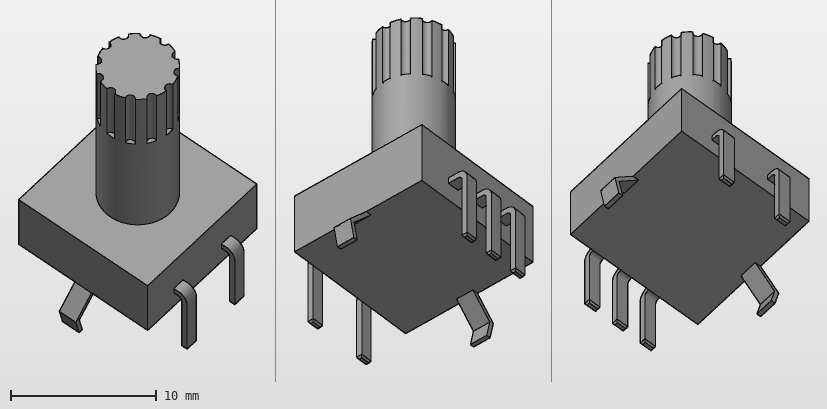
import cadquery as cq
import math

TOTAL_HEIGHT = 23

BODY_SIDE = 11.6
BODY_HEIGHT = 5.0

SHAFT_DIAMETER = 5.75
SHAFT_LENGTH = 14.0
FLUTE_COUNT = 12
FLUTE_RADIUS = 0.35
FLUTE_LENGTH = 5.0

PIN_REACH_LEFT = 1.7
PIN_REACH_RIGHT = 1.2
PIN_THICKNESS = 0.48
PIN_WIDTH = 1.0
PIN_PITCH = 2.53
PIN_TOP = 1.98
PIN_OUTER_BEND = 0.8
PIN_TIP_HEIGHT = 0.18
PIN_TIP_INSET = 0.12

TAB_WIDTH = 1.5
TAB_THICKNESS = 0.35
TAB_REACH = 1.65
TAB_DEPTH = 3.15
TAB_TIP_ANGLE = 13

EMBED = 0.23

half_side = BODY_SIDE / 2
shaft_top = BODY_HEIGHT + SHAFT_LENGTH
pin_bottom = shaft_top - TOTAL_HEIGHT


def make_body():
    return cq.Workplane("XY").box(BODY_SIDE, BODY_SIDE, BODY_HEIGHT, centered=(True, True, False))


def make_shaft():
    shaft = (
        cq.Workplane("XY", origin=(0, 0, BODY_HEIGHT - EMBED))
        .circle(SHAFT_DIAMETER / 2)
        .extrude(SHAFT_LENGTH + EMBED)
    )
    flutes = (
        cq.Workplane("XY", origin=(0, 0, shaft_top))
        .polarArray(SHAFT_DIAMETER / 2, 0, 360, FLUTE_COUNT)
        .circle(FLUTE_RADIUS)
        .extrude(-FLUTE_LENGTH)
    )
    return shaft.cut(flutes)


def make_pin(reach):
    """Pin on the +X side at Y = 0, ending in a tapered tip."""
    outer_x = half_side + reach
    inner_x = outer_x - PIN_THICKNESS
    root_x = half_side - EMBED
    underside = PIN_TOP - PIN_THICKNESS
    shoulder = pin_bottom + PIN_TIP_HEIGHT
    bend_x = outer_x - PIN_OUTER_BEND
    bend_z = PIN_TOP - PIN_OUTER_BEND
    inner_bend = PIN_OUTER_BEND - PIN_THICKNESS
    diagonal = math.sqrt(0.5)

    strip = (
        cq.Workplane("XZ", origin=(0, PIN_WIDTH / 2, 0))
        .moveTo(root_x, PIN_TOP)
        .lineTo(bend_x, PIN_TOP)
        .threePointArc(
            (bend_x + PIN_OUTER_BEND * diagonal, bend_z + PIN_OUTER_BEND * diagonal),
            (outer_x, bend_z),
        )
        .lineTo(outer_x, shoulder)
        .lineTo(inner_x, shoulder)
        .lineTo(inner_x, bend_z)
        .threePointArc(
            (bend_x + inner_bend * diagonal, bend_z + inner_bend * diagonal),
            (bend_x, underside),
        )
        .lineTo(root_x, underside)
        .close()
        .extrude(PIN_WIDTH)
    )
    tip = (
        cq.Workplane("XY", origin=((inner_x + outer_x) / 2, 0, shoulder))
        .rect(PIN_THICKNESS, PIN_WIDTH)
        .workplane(offset=-PIN_TIP_HEIGHT)
        .rect(PIN_THICKNESS - 2 * PIN_TIP_INSET, PIN_WIDTH - 2 * PIN_TIP_INSET)
        .loft(ruled=True)
    )
    return strip.union(tip)


def make_tab():
    """Tab on the +Y side; both legs have the same thickness, mitred at the bend."""
    lean = math.radians(TAB_TIP_ANGLE)
    bend_y = half_side + TAB_REACH
    bend_z = -TAB_REACH
    tip_y = bend_y - (TAB_DEPTH - TAB_REACH) * math.tan(lean)
    upper_thickness_y = TAB_THICKNESS * math.sqrt(2)
    lower_thickness_y = TAB_THICKNESS / math.cos(lean)

    inner_drop = (upper_thickness_y - lower_thickness_y) / (1 + math.tan(lean))
    inner_bend_y = bend_y - upper_thickness_y + inner_drop
    inner_bend_z = bend_z - inner_drop

    return (
        cq.Workplane("YZ", origin=(-TAB_WIDTH / 2, 0, 0))
        .polyline(
            [
                (half_side - EMBED, EMBED),
                (bend_y, bend_z),
                (tip_y, -TAB_DEPTH),
                (tip_y - lower_thickness_y, -TAB_DEPTH),
                (inner_bend_y, inner_bend_z),
                (half_side - EMBED - upper_thickness_y, EMBED),
            ]
        )
        .close()
        .extrude(TAB_WIDTH)
    )


result = make_body().union(make_shaft())

left_pin = make_pin(PIN_REACH_LEFT).rotate((0, 0, 0), (0, 0, 1), 180)
for y in (-PIN_PITCH, 0, PIN_PITCH):
    result = result.union(left_pin.translate((0, y, 0)))

right_pin = make_pin(PIN_REACH_RIGHT)
for y in (-PIN_PITCH, PIN_PITCH):
    result = result.union(right_pin.translate((0, y, 0)))

tab = make_tab()
result = result.union(tab).union(tab.mirror("XZ"))